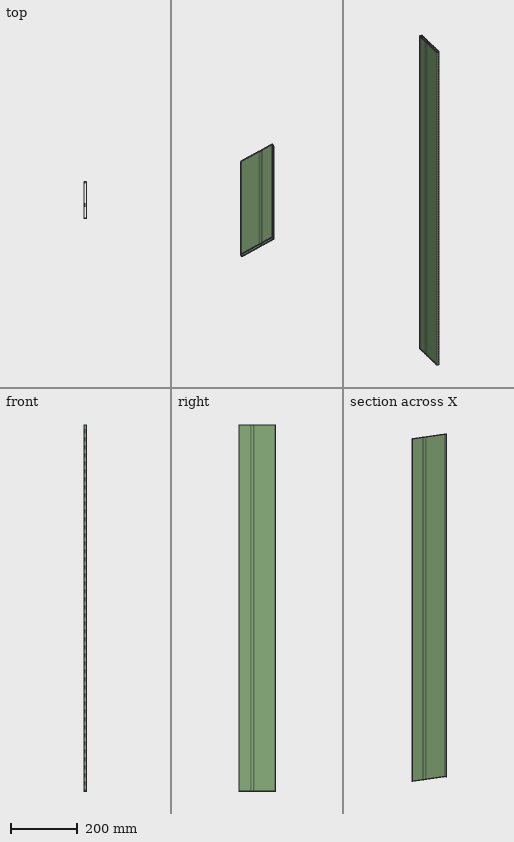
import cadquery as cq

thickness = 8.5
width = 111.0
length = 1100.0
wall = 1.2

groove_center_y = -14.8
groove_mouth_width = 10.6
groove_floor_width = 7.0
groove_depth = 0.5

face_x = thickness / 2
floor_x = face_x - groove_depth
square_edge_y = -width / 2
rounded_edge_y = width / 2
nose_start_y = rounded_edge_y - thickness / 2


def groove_points(side):
    """Corners of the groove from -Y to +Y, on the -X face (side -1) or the +X face (side 1)."""
    half_mouth = groove_mouth_width / 2
    half_floor = groove_floor_width / 2
    return [
        (side * face_x, groove_center_y - half_mouth),
        (side * floor_x, groove_center_y - half_floor),
        (side * floor_x, groove_center_y + half_floor),
        (side * face_x, groove_center_y + half_mouth),
    ]


def outer_outline():
    """Cross-section with a square -Y edge, a fully rounded +Y edge and a groove on each broad face."""
    outline = cq.Workplane("XY", origin=(0, 0, -length / 2)).moveTo(-face_x, square_edge_y)
    for x, y in groove_points(-1):
        outline = outline.lineTo(x, y)
    outline = outline.lineTo(-face_x, nose_start_y)
    outline = outline.threePointArc((0, rounded_edge_y), (face_x, nose_start_y))
    for x, y in reversed(groove_points(1)):
        outline = outline.lineTo(x, y)
    return outline.lineTo(face_x, square_edge_y).close()


solid_board = outer_outline().extrude(length)
cavity = outer_outline().offset2D(-wall, "intersection").extrude(length)
result = solid_board.cut(cavity)